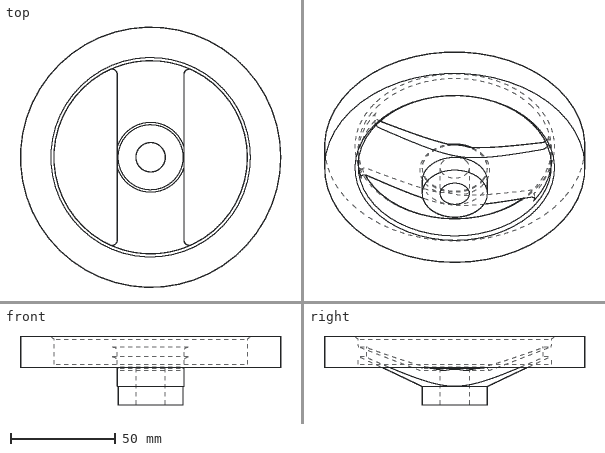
import cadquery as cq

rim_radius = 62.5
rim_height = 15.0
opening_radius = 46.4
opening_chamfer = 1.5

total_height = 33.0
hub_radius = 15.6
hub_top = -14.8
bore_radius = 7.0

web_width = 32.1
web_corner_radius = 2.5
web_overlap = 1.2
shoulder_radius = 16.8
shoulder_z = -16.4
shoulder_top_z = -15.5
upper_edge_z = -5.0
lower_edge_z = -9.6
lower_hub_z = -24.1


def make_rim():
    rim = cq.Workplane("XY").circle(rim_radius).circle(opening_radius).extrude(-rim_height)
    opening_edges = cq.selectors.RadiusNthSelector(0)
    return rim.faces("|Z").edges(opening_edges).chamfer(opening_chamfer)


def make_web():
    upper_slope = (upper_edge_z - shoulder_z) / (opening_radius - shoulder_radius)
    lower_slope = (lower_edge_z - lower_hub_z) / (opening_radius - hub_radius)
    outer_radius = opening_radius + web_overlap
    dish = (
        cq.Workplane("XZ")
        .moveTo(0, shoulder_top_z)
        .lineTo(hub_radius, shoulder_top_z)
        .lineTo(shoulder_radius, shoulder_z)
        .lineTo(outer_radius, upper_edge_z + upper_slope * web_overlap)
        .lineTo(outer_radius, lower_edge_z + lower_slope * web_overlap)
        .lineTo(hub_radius, lower_hub_z)
        .lineTo(0, lower_hub_z)
        .close()
        .revolve(360, (0, 0, 0), (0, 1, 0))
    )
    spoke_band = cq.Workplane("XY").rect(web_width, 2 * rim_radius).extrude(-total_height)
    windows = (
        cq.Workplane("XY")
        .circle(opening_radius)
        .extrude(-total_height)
        .cut(spoke_band)
        .edges("|Z")
        .fillet(web_corner_radius)
    )
    return dish.cut(windows)


def make_hub():
    hub_base = cq.Workplane("XY").workplane(offset=-total_height)
    return hub_base.circle(hub_radius).extrude(total_height + hub_top)


bore = cq.Workplane("XY").circle(bore_radius).extrude(-total_height)
result = make_rim().union(make_web()).union(make_hub()).cut(bore)